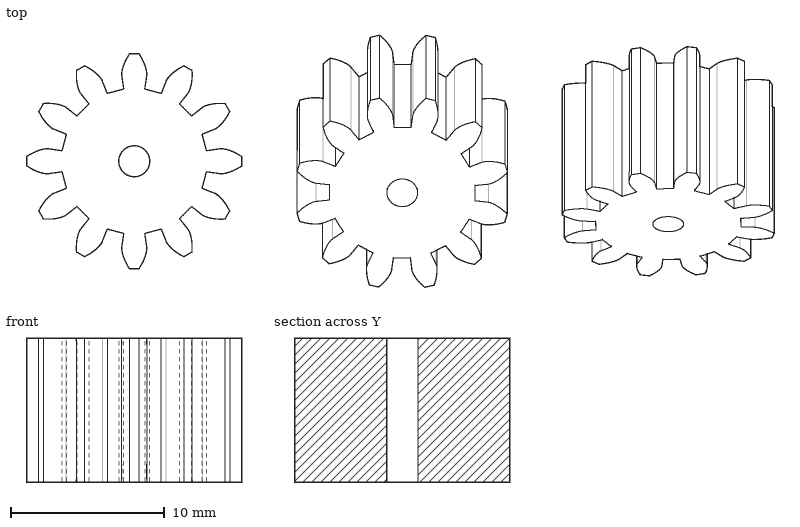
import cadquery as cq
import math

outer_width = 13.99
face_width = 9.37
bore_diameter = 2.0
tooth_count = 12
pressure_angle = math.radians(20)
addendum_factor = 1.0
dedendum_factor = 1.25
flank_segments = 8


def involute(angle):
    """Polar angle of an involute at the point with this pressure angle."""
    return math.tan(angle) - angle


pitch_to_tip_ratio = tooth_count / (tooth_count + 2 * addendum_factor)
tip_pressure_angle = math.acos(pitch_to_tip_ratio * math.cos(pressure_angle))
base_half_angle = math.pi / (2 * tooth_count) + involute(pressure_angle)
tip_half_angle = base_half_angle - involute(tip_pressure_angle)

tip_radius = outer_width / 2 / math.cos(tip_half_angle)
pitch_radius = tip_radius * pitch_to_tip_ratio
module = 2 * pitch_radius / tooth_count
base_radius = pitch_radius * math.cos(pressure_angle)
root_radius = pitch_radius - dedendum_factor * module


def polar(radius, angle):
    return (radius * math.cos(angle), radius * math.sin(angle))


def flank_points(center_angle, side):
    """Involute from base circle to tip; side is -1 or +1 about the tooth center."""
    points = []
    tip_roll = math.tan(tip_pressure_angle)
    for i in range(flank_segments + 1):
        local_angle = math.atan(tip_roll * i / flank_segments)
        radius = base_radius / math.cos(local_angle)
        half_angle = base_half_angle - involute(local_angle)
        points.append(polar(radius, center_angle + side * half_angle))
    return points


def gear_outline():
    """Closed outline with radial lower flanks, flat tips and flat roots."""
    outline = cq.Workplane("XY").moveTo(*polar(root_radius, -base_half_angle))
    for tooth in range(tooth_count):
        center_angle = 2 * math.pi * tooth / tooth_count
        rising = flank_points(center_angle, -1)
        falling = flank_points(center_angle, 1)[::-1]
        if tooth > 0:
            outline = outline.lineTo(*polar(root_radius, center_angle - base_half_angle))
        outline = outline.lineTo(*rising[0])
        outline = outline.spline(rising[1:], includeCurrent=True)
        outline = outline.lineTo(*falling[0])
        outline = outline.spline(falling[1:], includeCurrent=True)
        outline = outline.lineTo(*polar(root_radius, center_angle + base_half_angle))
    return outline.close()


gear = gear_outline().extrude(face_width)
bore = cq.Workplane("XY").circle(bore_diameter / 2).extrude(face_width)
result = gear.cut(bore)